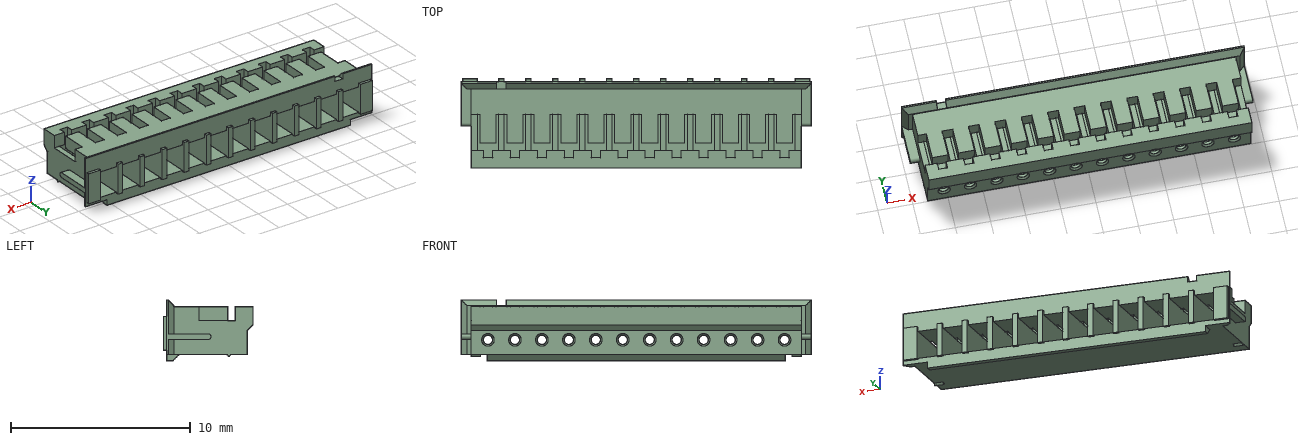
import cadquery as cq


ways = 12
pitch = 1.5
row_end = pitch * (ways - 1) / 2
contact_xs = [i * pitch - row_end for i in range(ways)]
wall_xs = [x + pitch / 2 for x in contact_xs[:-1]]

body_length = 18.39
body_height = 2.67
nose_overhang = 0.31
nose_bottom_z = 1.65

flange_length = 19.5
flange_top_z = 3.05
flange_front_y = 4.4
flange_rear_y = 4.82
flange_bevel = 0.31
key_notch_width = 0.53

pad_depth = 0.18
pad_bottom_z = 0.23
pad_top_z = 2.13
end_pad_outer_x = 9.67

wall_thickness = 0.31
cavity_width = pitch - wall_thickness
cavity_front_y = 0.58
cavity_bottom_z = 0.3
cavity_top_z = 1.9

trench_front_y = 1.0
trench_rear_y = 1.4
tongue_gap_width = 0.6
tongue_root_y = 3.0
latch_notch_width = 0.5

hole_z = 0.82
hole_diameter = 0.5
countersink_diameter = 0.7
countersink_depth = (countersink_diameter - hole_diameter) / 2

bar_front_y = 2.34
bar_bottom_z = 0.84
bar_height = 0.31

rib_length = 16.6
rib_depth = 0.35
rib_flat_front_y = 4.47
foot_length = 0.53
foot_height = 0.12
foot_y = 1.35


def block(x_range, y_range, z_range):
    """Box between two limits along each axis."""
    (x0, x1), (y0, y1), (z0, z1) = x_range, y_range, z_range
    return cq.Workplane("XY").box(x1 - x0, y1 - y0, z1 - z0, centered=False).translate((x0, y0, z0))


def block_about(center_x, width, y_range, z_range):
    """Box centred on center_x."""
    return block((center_x - width / 2, center_x + width / 2), y_range, z_range)


def extrude_along_x(profile_yz, length):
    """Closed YZ outline extruded symmetrically about X = 0."""
    return cq.Workplane("YZ").polyline(profile_yz).close().extrude(length / 2, both=True)


def make_body():
    """Main block with a bevelled nose overhanging the entry holes."""
    profile = [
        (0, body_height),
        (0, nose_bottom_z),
        (nose_overhang, nose_bottom_z - nose_overhang),
        (nose_overhang, 0),
        (flange_rear_y, 0),
        (flange_rear_y, body_height),
    ]
    return extrude_along_x(profile, body_length)


def make_flange():
    """Rear plate bevelled along its top and ends, notched between the first two contacts."""
    plate = block_about(0, flange_length, (flange_front_y, flange_rear_y), (0, flange_top_z))
    plate = plate.faces("<Y").edges(">Z or <X or >X").chamfer(flange_bevel)
    notch_z = (flange_top_z - flange_bevel, flange_top_z)
    notch = block_about(wall_xs[0], key_notch_width, (flange_front_y, flange_rear_y), notch_z)
    return plate.cut(notch)


def make_rear_pads():
    """Narrow pads behind the walls between cavities and a wider pad at each end."""
    y_range = (flange_rear_y, flange_rear_y + pad_depth)
    z_range = (pad_bottom_z, pad_top_z)
    end_pad_inner_x = row_end + cavity_width / 2
    pads = block((-end_pad_outer_x, -end_pad_inner_x), y_range, z_range)
    pads = pads.union(block((end_pad_inner_x, end_pad_outer_x), y_range, z_range))
    for x in wall_xs:
        pads = pads.union(block_about(x, wall_thickness, y_range, z_range))
    return pads


def make_guide_bars():
    """Round-nosed bars along both ends, flush with the flange ends."""
    bar_z = (bar_bottom_z, bar_bottom_z + bar_height)
    bars = block_about(0, flange_length, (bar_front_y, flange_rear_y), bar_z)
    nose_radius = bar_height / 2
    nose_center = (bar_front_y + nose_radius, bar_bottom_z + nose_radius)
    nose = cq.Workplane("YZ").center(*nose_center).circle(nose_radius).extrude(flange_length / 2, both=True)
    square_end = block_about(0, flange_length, (bar_front_y, nose_center[0]), bar_z)
    return bars.cut(square_end).union(nose)


def make_underside_rib():
    """Rib under the rear edge with a 45 degree front slope."""
    profile = [
        (flange_rear_y, 0),
        (flange_rear_y, -rib_depth),
        (rib_flat_front_y, -rib_depth),
        (rib_flat_front_y - rib_depth, 0),
    ]
    return extrude_along_x(profile, rib_length)


def make_feet():
    """Small wedge-shaped feet at both ends of the underside."""
    wedge = [(foot_y - foot_height, 0), (foot_y, -foot_height), (foot_y + foot_height, 0)]
    feet = extrude_along_x(wedge, body_length)
    gap = extrude_along_x(wedge, body_length - 2 * foot_length)
    return feet.cut(gap)


def make_top_openings():
    """Cross trench plus the gaps that separate the tongues."""
    z_range = (cavity_top_z, body_height)
    openings = block_about(0, body_length, (trench_front_y, trench_rear_y), z_range)
    gap_xs = [-row_end - pitch / 2] + wall_xs + [row_end + pitch / 2]
    for x in gap_xs:
        openings = openings.union(block_about(x, tongue_gap_width, (trench_front_y, tongue_root_y), z_range))
    return openings


def make_contact_cut(x):
    """Cavity, latch notch and countersunk entry hole for one contact."""
    cavity = block_about(x, cavity_width, (cavity_front_y, flange_rear_y), (cavity_bottom_z, cavity_top_z))
    latch_notch = block_about(
        x, latch_notch_width, (cavity_front_y, trench_front_y), (cavity_top_z, body_height)
    )
    entry_center = cq.Vector(x, nose_overhang, hole_z)
    inward = cq.Vector(0, 1, 0)
    hole = cq.Solid.makeCylinder(
        hole_diameter / 2, cavity_front_y - nose_overhang, entry_center, inward
    )
    countersink = cq.Solid.makeCone(
        countersink_diameter / 2, hole_diameter / 2, countersink_depth, entry_center, inward
    )
    return cavity.union(latch_notch).union(cq.Workplane(hole)).union(cq.Workplane(countersink))


housing = make_body().union(make_flange()).union(make_guide_bars())
housing = housing.union(make_rear_pads()).union(make_underside_rib()).union(make_feet())
housing = housing.cut(make_top_openings())
for contact_x in contact_xs:
    housing = housing.cut(make_contact_cut(contact_x))

result = housing